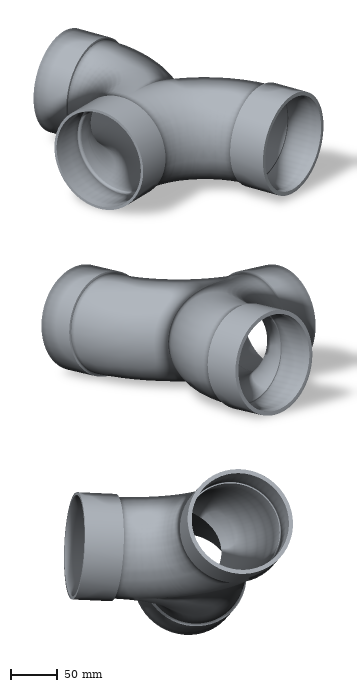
import cadquery as cq

overall_length = 300.0
overall_depth = 211.0

socket_diameter = 116.0
socket_length = 43.0
pipe_diameter = 110.0
pipe_bore = 104.0
side_socket_bore = 107.0
branch_socket_bore = 110.0

side_end = overall_length / 2
side_shoulder = side_end - socket_length
branch_end = overall_depth - socket_diameter / 2
branch_shoulder = branch_end - socket_length

bend_radius = branch_shoulder

lip_radius = (branch_socket_bore - pipe_bore) / 2
lip_face = branch_shoulder + lip_radius


def side_socket(diameter):
    """Pair of cylinders filling the length of both side sockets."""
    right = cq.Workplane("YZ").workplane(offset=side_shoulder).circle(diameter / 2).extrude(socket_length)
    return right.union(right.mirror("YZ"))


def branch_plane(distance):
    """Plane across the branch, facing -Y, at a distance from the side axis."""
    return cq.Workplane("XZ").workplane(offset=distance)


def branch_cylinder(start, end, diameter):
    """Cylinder along the branch between two distances from the side axis."""
    return branch_plane(start).circle(diameter / 2).extrude(end - start)


def twin_bend(diameter):
    """Two quarter bends from the branch to the sides, mirrored about the YZ plane."""
    right = (
        branch_plane(bend_radius)
        .circle(diameter / 2)
        .revolve(90, (bend_radius, 0, 0), (bend_radius, -1, 0))
    )
    return right.union(right.mirror("YZ"))


def branch_socket_cavity():
    """Branch socket bore, with the flared opening of the rounded lip at its bottom."""
    pipe_edge = pipe_bore / 2
    socket_edge = branch_socket_bore / 2
    return (
        cq.Workplane("XY")
        .moveTo(0, -branch_shoulder)
        .lineTo(pipe_edge, -branch_shoulder)
        .radiusArc((socket_edge, -lip_face), -lip_radius)
        .lineTo(socket_edge, -branch_end)
        .lineTo(0, -branch_end)
        .close()
        .revolve(360, (0, 0, 0), (0, 1, 0))
    )


outside = (
    twin_bend(pipe_diameter)
    .union(side_socket(socket_diameter))
    .union(branch_cylinder(branch_shoulder, branch_end, socket_diameter))
)

result = (
    outside.cut(twin_bend(pipe_bore))
    .cut(side_socket(side_socket_bore))
    .cut(branch_socket_cavity())
)